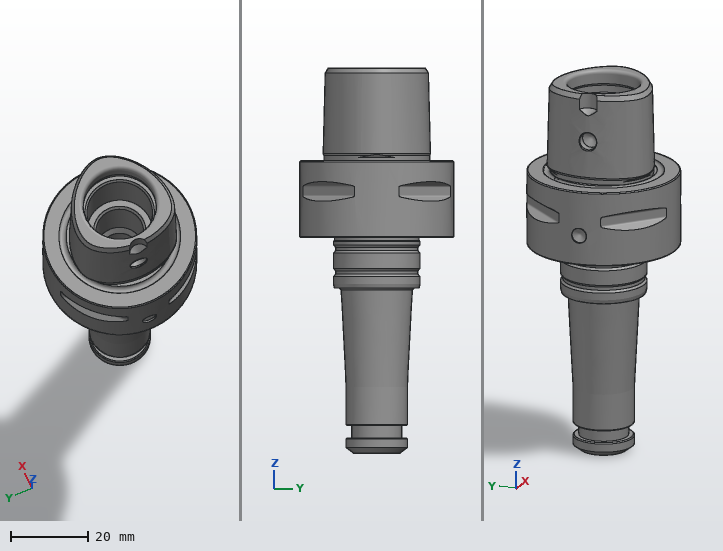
import cadquery as cq
import math


flange_diameter = 40
flange_height = 20
flange_edge = 0.3

taper_height = 24
taper_diameter = 28
taper_eccentricity = 0.9
taper_ratio = 1 / 20
taper_bottom = 1.8
lobe_half_angle = 27
tip_chamfer_height = 1.3
tip_chamfer_inset = 0.8

neck_top = 1.3
neck_inset = 0.2
neck_radius = 14
undercut_height = 0.8
relief_inner_radius = 13.9
relief_outer_radius = 15.8
relief_depth = 0.9

bore_mouth_radius = 1
bore_entry_diameter = 19
bore_groove_diameter = 20
bore_groove_top = 3.6
bore_groove_flank = 0.6
bore_groove_bottom = 6.1
bore_lip_diameter = 18
bore_diameter = 17
bore_lip_chamfer = 0.5
bore_depth = 20
thread_mouth_diameter = 13.6
thread_diameter = 12.4
thread_length = 14
through_diameter = 10

collar_diameter = 22.5
collar_relief_diameter = 22
collar_groove_diameter = 21.4
collar_groove_slope = 0.6
collar_start = 20.7
collar_land_starts = (21, 24, 30.1)
collar_land_ends = (21.9, 28, 32.1)
collar_bottom = 33.1
cone_top_diameter = 18.6
cone_step_diameter = 19.4
cone_start = 33.6
shank_diameter = 16
cone_end = 58.9
lower_groove_diameter = 13
lower_groove_top = 68.8
lower_groove_bottom = 72
shank_edge = 0.3
end_bevel_height = 1.5
end_bevel_inset = 2
overall_height = 100
shank_bottom = overall_height - taper_height

slot_count = 4
slot_centre = -8
slot_floor_distance = 17.6
slot_floor_height = 2.7
slot_mouth_height = 5.1
slot_corner_radius = 0.6

hole_point_angle = 120
side_hole_diameter = 4.6
side_hole_mouth_diameter = 5.1
side_hole_chamfer = 0.3
side_hole_height = 11.5
side_hole_depth = 2.6
side_hole_clearance = 0.1
flange_hole_diameter = 4
flange_hole_height = -12
flange_hole_depth = 0.5
key_notch_diameter = 5.2
key_notch_offset = 13.3
key_notch_depth = 4
key_notch_point_angle = 105


def taper_radius(height):
    return (taper_diameter - height * taper_ratio) / 2


def polygon_wire(mean_radius, height):
    """Three-lobed curve whose tangent lies at mean_radius + eccentricity * cos(3 * angle)."""
    def point(degrees):
        angle = math.radians(degrees)
        reach = mean_radius + taper_eccentricity * math.cos(3 * angle)
        slope = -3 * taper_eccentricity * math.sin(3 * angle)
        x = reach * math.cos(angle) - slope * math.sin(angle)
        y = reach * math.sin(angle) + slope * math.cos(angle)
        return cq.Vector(x, y, height)

    def tangent(degrees):
        angle = math.radians(degrees)
        return cq.Vector(-math.sin(angle), math.cos(angle), 0)

    edges = []
    steps = 8
    for lobe_centre in (0, 120, 240):
        side_start = lobe_centre + lobe_half_angle
        side_end = lobe_centre + 120 - lobe_half_angle
        for start, end in ((lobe_centre - lobe_half_angle, side_start), (side_start, side_end)):
            points = [point(start + (end - start) * i / steps) for i in range(steps + 1)]
            edges.append(cq.Edge.makeSpline(points, tangents=[tangent(start), tangent(end)]))
    return cq.Wire.assembleEdges(edges)


def polygon_frustum(bottom_radius, bottom, top_radius, top):
    wires = [polygon_wire(bottom_radius, bottom), polygon_wire(top_radius, top)]
    return cq.Workplane(obj=cq.Solid.makeLoft(wires, True))


def revolve_profile(profile):
    return profile.close().revolve(360, (0, 0, 0), (0, 1, 0))


def make_taper():
    shoulder = taper_height - tip_chamfer_height
    sides = polygon_frustum(taper_radius(taper_bottom), taper_bottom, taper_radius(shoulder), shoulder)
    neck_mean_radius = taper_radius(taper_bottom) - neck_inset
    neck = polygon_frustum(neck_mean_radius, 0, neck_mean_radius, neck_top)
    bevel = polygon_frustum(neck_mean_radius, neck_top, taper_radius(taper_bottom), taper_bottom)
    tip_radius = taper_radius(shoulder) - tip_chamfer_inset
    tip = polygon_frustum(taper_radius(shoulder), shoulder, tip_radius, taper_height)
    bevel_radius = neck_radius + taper_bottom - undercut_height
    envelope = revolve_profile(
        cq.Workplane("XZ")
        .lineTo(neck_radius, 0)
        .lineTo(neck_radius, undercut_height)
        .lineTo(bevel_radius, taper_bottom)
        .lineTo(0, taper_bottom)
    )
    return neck.union(bevel).intersect(envelope).union(sides).union(tip)


def collar_lands():
    """Outline of the three collar lands and the two grooves between them."""
    land_radius = collar_diameter / 2
    groove_radius = collar_groove_diameter / 2
    points = []
    for index, (start, end) in enumerate(zip(collar_land_starts, collar_land_ends)):
        if index > 0:
            points.append((groove_radius, collar_groove_slope - start))
        points += [(land_radius, -start), (land_radius, -end)]
        if index < len(collar_land_starts) - 1:
            points.append((groove_radius, -end - collar_groove_slope))
    return points


def make_flange_and_shank():
    flange_radius = flange_diameter / 2
    shank_radius = shank_diameter / 2
    lower_groove_radius = lower_groove_diameter / 2
    outline = [
        (0, 0),
        (flange_radius - flange_edge, 0),
        (flange_radius, -flange_edge),
        (flange_radius, flange_edge - flange_height),
        (flange_radius - flange_edge, -flange_height),
        (collar_relief_diameter / 2, -flange_height),
        (collar_relief_diameter / 2, -collar_start),
        *collar_lands(),
        (collar_relief_diameter / 2, -collar_bottom),
        (cone_step_diameter / 2, -collar_bottom),
        (cone_top_diameter / 2, -cone_start),
        (shank_radius, -cone_end),
        (shank_radius, shank_edge - lower_groove_top),
        (shank_radius - shank_edge, -lower_groove_top),
        (lower_groove_radius, -lower_groove_top),
        (lower_groove_radius, -lower_groove_bottom),
        (shank_radius - shank_edge, -lower_groove_bottom),
        (shank_radius, -lower_groove_bottom - shank_edge),
        (shank_radius, end_bevel_height - shank_bottom),
        (shank_radius - end_bevel_inset, -shank_bottom),
        (0, -shank_bottom),
    ]
    return revolve_profile(cq.Workplane("XZ").polyline(outline))


def make_relief_groove():
    middle = (relief_inner_radius + relief_outer_radius) / 2
    return revolve_profile(
        cq.Workplane("XZ")
        .moveTo(relief_inner_radius, 0)
        .threePointArc((middle, -relief_depth), (relief_outer_radius, 0))
    )


def make_bore():
    thread_top = taper_height - bore_depth
    thread_chamfer = (thread_mouth_diameter - thread_diameter) / 2
    thread_bottom = thread_top - thread_length
    lip = taper_height - bore_groove_bottom
    outline = [
        (0, taper_height),
        (bore_entry_diameter / 2, taper_height),
        (bore_entry_diameter / 2, taper_height - bore_groove_top),
        (bore_groove_diameter / 2, taper_height - bore_groove_top - bore_groove_flank),
        (bore_groove_diameter / 2, lip),
        (bore_lip_diameter / 2, lip),
        (bore_diameter / 2, lip - bore_lip_chamfer),
        (bore_diameter / 2, thread_top),
        (thread_mouth_diameter / 2, thread_top),
        (thread_diameter / 2, thread_top - thread_chamfer),
        (thread_diameter / 2, thread_bottom),
        (through_diameter / 2, thread_bottom - (thread_diameter - through_diameter) / 2),
        (through_diameter / 2, -shank_bottom),
        (0, -shank_bottom),
    ]
    return revolve_profile(cq.Workplane("XZ").polyline(outline))


def make_bore_rounding():
    entry_radius = bore_entry_diameter / 2
    round_centre_x = entry_radius + bore_mouth_radius
    round_centre_z = taper_height - bore_mouth_radius
    diagonal = bore_mouth_radius * math.sqrt(0.5)
    return revolve_profile(
        cq.Workplane("XZ")
        .moveTo(0, taper_height)
        .lineTo(round_centre_x, taper_height)
        .threePointArc((round_centre_x - diagonal, round_centre_z + diagonal), (entry_radius, round_centre_z))
        .lineTo(0, round_centre_z)
    )


def make_gripper_slots():
    wall_slope = (slot_mouth_height - slot_floor_height) / (flange_diameter / 2 - slot_floor_distance)
    cutter_depth = 5
    cutter_mouth = slot_floor_height + wall_slope * cutter_depth
    outer = slot_floor_distance + cutter_depth
    cutter = (
        cq.Workplane("XZ")
        .polyline([
            (slot_floor_distance, slot_centre - slot_floor_height / 2),
            (outer, slot_centre - cutter_mouth / 2),
            (outer, slot_centre + cutter_mouth / 2),
            (slot_floor_distance, slot_centre + slot_floor_height / 2),
        ])
        .close()
        .extrude(flange_diameter / 2, both=True)
        .faces("<X")
        .edges("|Y")
        .fillet(slot_corner_radius)
    )
    step = 360 / slot_count
    slots = cq.Workplane()
    for i in range(slot_count):
        slots = slots.add(cutter.rotate((0, 0, 0), (0, 0, 1), step * (i + 0.5)))
    return slots.combine()


def make_drill(diameter, length, point_angle):
    """Drill along +Z: a cylinder from 0 to length, then its conical point."""
    radius = diameter / 2
    point_length = radius / math.tan(math.radians(point_angle / 2))
    return revolve_profile(
        cq.Workplane("XZ").polyline([(0, 0), (radius, 0), (radius, length), (0, length + point_length)])
    )


def side_drill(diameter, start, length, height):
    """Drill entering along +X from x = -start."""
    drill = make_drill(diameter, length, hole_point_angle)
    return drill.rotate((0, 0, 0), (0, 1, 0), 90).translate((-start, 0, height))


def make_side_hole():
    face = taper_radius(side_hole_height) - taper_eccentricity
    start = face + side_hole_clearance
    hole = side_drill(side_hole_diameter, start, side_hole_depth + side_hole_clearance, side_hole_height)
    mouth = (
        cq.Workplane("YZ", origin=(-start, 0, side_hole_height))
        .circle(side_hole_mouth_diameter / 2)
        .extrude(side_hole_clearance)
        .faces(">X")
        .workplane()
        .circle(side_hole_mouth_diameter / 2)
        .workplane(offset=side_hole_chamfer)
        .circle(side_hole_diameter / 2)
        .loft()
    )
    return hole.union(mouth)


def make_key_notch():
    drill = make_drill(key_notch_diameter, key_notch_depth, key_notch_point_angle)
    return drill.rotate((0, 0, 0), (1, 0, 0), 180).translate((-key_notch_offset, 0, taper_height))


flange_hole = side_drill(flange_hole_diameter, flange_diameter / 2, flange_hole_depth, flange_hole_height)

result = (
    make_flange_and_shank()
    .cut(make_relief_groove())
    .union(make_taper())
    .cut(make_bore())
    .cut(make_bore_rounding())
    .cut(make_gripper_slots())
    .cut(flange_hole)
    .cut(make_side_hole())
    .cut(make_key_notch())
)